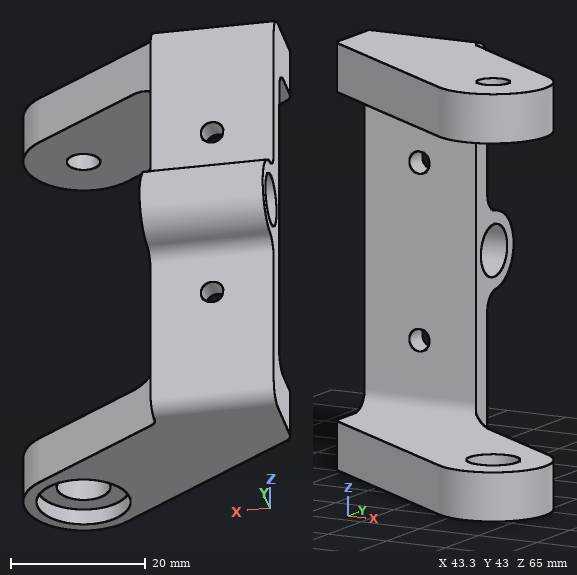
import cadquery as cq
import math


total_height = 65.0
plate_width = 18.75
plate_thickness = 4.0
arm_thickness = 7.5
bend_radius = 3.0

arm_angle = math.radians(35.0)
arm_end_radius = 9.0
arm_corner_radius = 2.0
pivot_x = 34.34
pivot_y = -25.95

upper_pivot_diameter = 5.0
lower_pivot_diameter = 8.0
bolt_head_diameter = 14.0
bolt_head_depth = 2.5

barrel_radius = 6.0
barrel_bore_diameter = 8.0
barrel_offset = 2.0
barrel_fillet_radius = 3.0

screw_diameter = 3.4
screw_spacing = 27.0

half_height = total_height / 2
inner_half_height = half_height - arm_thickness
barrel_back = barrel_offset + barrel_radius
arm_front = pivot_y - arm_end_radius
arm_right = pivot_x + arm_end_radius
blend_reach = barrel_radius + barrel_fillet_radius
blend_rise = barrel_fillet_radius - barrel_offset
blend_half_height = math.sqrt(blend_reach**2 - blend_rise**2)


def make_plan():
    """Outline of plate and arms from above, at full height."""
    slope = math.tan(arm_angle)
    offset_x = arm_end_radius * math.sin(arm_angle)
    offset_y = arm_end_radius * math.cos(arm_angle)
    near_x, near_y = pivot_x - offset_x, pivot_y - offset_y
    far_x, far_y = pivot_x + offset_x, pivot_y + offset_y
    tip = (
        pivot_x + arm_end_radius * math.cos(arm_angle),
        pivot_y - arm_end_radius * math.sin(arm_angle),
    )
    outer_corner = (0, near_y + near_x * slope)
    inner_corner = (plate_width, far_y + (far_x - plate_width) * slope)
    plan = (
        cq.Workplane("XY", origin=(0, 0, -half_height))
        .moveTo(0, barrel_back)
        .lineTo(*outer_corner)
        .lineTo(near_x, near_y)
        .threePointArc(tip, (far_x, far_y))
        .lineTo(*inner_corner)
        .lineTo(plate_width, barrel_back)
        .close()
        .extrude(total_height)
    )
    for corner in (outer_corner, inner_corner):
        edge = cq.selectors.NearestToPointSelector((*corner, 0))
        plan = plan.edges(edge).fillet(arm_corner_radius)
    return plan


def make_channel():
    """C-shaped side profile of plate and arms, wide enough to cover the plan."""
    outer = (
        cq.Workplane("YZ")
        .moveTo(arm_front, -half_height)
        .lineTo(0, -half_height)
        .lineTo(0, half_height)
        .lineTo(arm_front, half_height)
        .close()
        .extrude(arm_right)
        .edges("|X and >Y")
        .fillet(bend_radius)
    )
    gap = (
        cq.Workplane("YZ")
        .moveTo(arm_front, -inner_half_height)
        .lineTo(-plate_thickness, -inner_half_height)
        .lineTo(-plate_thickness, inner_half_height)
        .lineTo(arm_front, inner_half_height)
        .close()
        .extrude(arm_right)
        .edges("|X and >Y")
        .fillet(bend_radius)
    )
    return outer.cut(gap)


def make_barrel():
    """Pin barrel along X, blended into the back of the plate by concave fillets."""
    tangent_ratio = barrel_radius / blend_reach
    tangent_y = barrel_offset + blend_rise * tangent_ratio
    tangent_z = blend_half_height * tangent_ratio
    blend_start = math.pi
    blend_end = math.atan2(-blend_half_height, -blend_rise) + 2 * math.pi
    middle_angle = (blend_start + blend_end) / 2
    middle_y = barrel_fillet_radius + barrel_fillet_radius * math.cos(middle_angle)
    middle_z = blend_half_height + barrel_fillet_radius * math.sin(middle_angle)
    return (
        cq.Workplane("YZ")
        .moveTo(-plate_thickness, -blend_half_height)
        .lineTo(0, -blend_half_height)
        .threePointArc((middle_y, -middle_z), (tangent_y, -tangent_z))
        .threePointArc((barrel_back, 0), (tangent_y, tangent_z))
        .threePointArc((middle_y, middle_z), (0, blend_half_height))
        .lineTo(-plate_thickness, blend_half_height)
        .close()
        .extrude(plate_width)
    )


def make_barrel_bore():
    """Pin hole through the barrel."""
    return (
        cq.Workplane("YZ")
        .center(barrel_offset, 0)
        .circle(barrel_bore_diameter / 2)
        .extrude(plate_width)
    )


def make_pivot_cylinder(diameter, base_z, height):
    """Upright cylinder on the pivot axis."""
    return (
        cq.Workplane("XY", origin=(pivot_x, pivot_y, base_z))
        .circle(diameter / 2)
        .extrude(height)
    )


def make_pivot_holes():
    """Pivot hole in each arm, with a bolt head recess under the lower one."""
    upper = make_pivot_cylinder(upper_pivot_diameter, inner_half_height, arm_thickness)
    lower = make_pivot_cylinder(lower_pivot_diameter, -half_height, arm_thickness)
    recess = make_pivot_cylinder(bolt_head_diameter, -half_height, bolt_head_depth)
    return upper.union(lower.union(recess))


def make_screw_holes():
    """Two screw holes through the plate, above and below the barrel."""
    return (
        cq.Workplane("XZ", origin=(plate_width / 2, 0, 0))
        .pushPoints([(0, -screw_spacing / 2), (0, screw_spacing / 2)])
        .circle(screw_diameter / 2)
        .extrude(plate_thickness)
    )


body = make_channel().intersect(make_plan()).union(make_barrel())
result = body.cut(make_barrel_bore()).cut(make_pivot_holes()).cut(make_screw_holes())